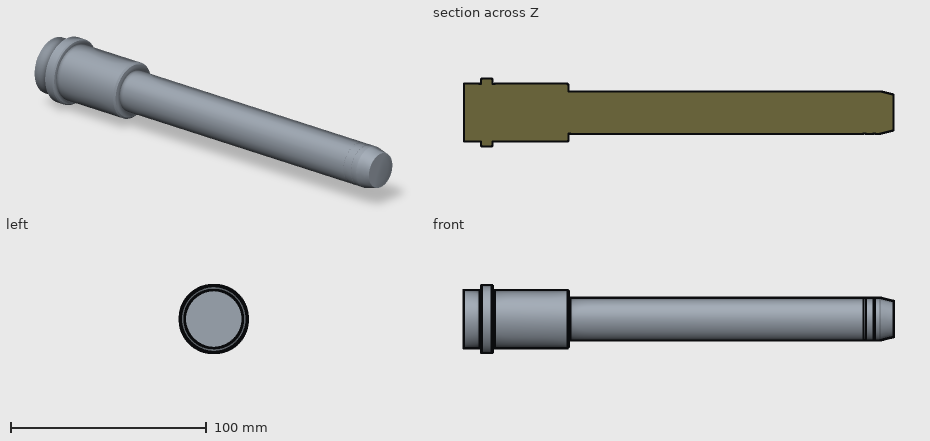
import cadquery as cq

length = 220.0

body_diameter = 30.0
body_end = 54.0
body_end_chamfer = 0.9
face_chamfer = 0.2

flange_diameter = 35.0
flange_start = 8.8
flange_width = 6.2
flange_end = flange_start + flange_width
flange_chamfer = 0.7

shaft_diameter = 22.0
tip_diameter = 18.5
tip_length = 7.0
taper_start = length - tip_length

groove_depth = 0.1
front_relief_width = 0.7
rear_relief_width = 1.0
neck_relief_width = 0.7
inner_ring_start = 204.4
inner_ring_width = 1.3
outer_ring_start = 209.5
outer_ring_width = 0.9


def cylinder(start, end, diameter):
    """Round bar along X from start to end."""
    return cq.Workplane("YZ", origin=(start, 0, 0)).circle(diameter / 2).extrude(end - start)


def cut_groove(bar, start, width, diameter):
    """Cut a shallow ring groove into a round bar of the given diameter."""
    outer = cylinder(start, start + width, diameter + 2 * groove_depth)
    core = cylinder(start, start + width, diameter - 2 * groove_depth)
    return bar.cut(outer.cut(core))


def make_body():
    """Head body, chamfered at both ends, with relief grooves beside the flange."""
    body = cylinder(0, body_end, body_diameter)
    body = body.faces("<X").chamfer(face_chamfer)
    body = body.faces(">X").chamfer(body_end_chamfer)
    body = cut_groove(body, flange_start - front_relief_width, front_relief_width, body_diameter)
    return cut_groove(body, flange_end, rear_relief_width, body_diameter)


def make_flange():
    """Collar with both outer edges chamfered."""
    flange = cylinder(flange_start, flange_end, flange_diameter)
    return flange.faces("<X or >X").chamfer(flange_chamfer)


def make_shaft():
    """Grooved shaft that tapers to a flat tip."""
    shaft = cylinder(body_end, taper_start, shaft_diameter)
    shaft = cut_groove(shaft, body_end, neck_relief_width, shaft_diameter)
    shaft = cut_groove(shaft, inner_ring_start, inner_ring_width, shaft_diameter)
    shaft = cut_groove(shaft, outer_ring_start, outer_ring_width, shaft_diameter)
    tip = (
        cq.Workplane("YZ", origin=(taper_start, 0, 0))
        .circle(shaft_diameter / 2)
        .workplane(offset=tip_length)
        .circle(tip_diameter / 2)
        .loft()
    )
    return shaft.union(tip)


result = make_body().union(make_flange()).union(make_shaft())